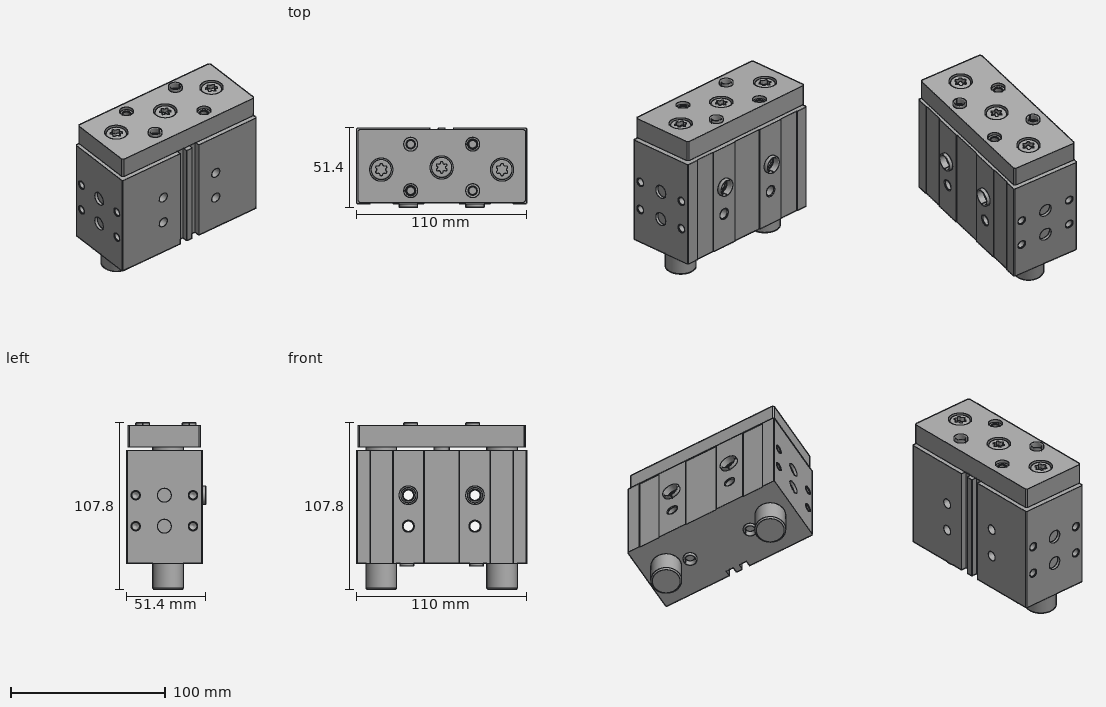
import cadquery as cq
import math


housing_width = 110.0
housing_depth = 49.0
housing_height = 73.0
housing_corner_chamfer = 0.65
front_y = -housing_depth / 2
back_y = housing_depth / 2
side_x = housing_width / 2

plate_width = 108.0
plate_depth = 47.0
plate_thickness = 14.0
plate_corner_chamfer = 1.0
plate_gap = 2.0
plate_bottom_z = housing_height + plate_gap
plate_top_z = plate_bottom_z + plate_thickness

flute_depth = 0.4
centre_flute_width = 23.2
side_flute_inner_x = 31.2
side_flute_outer_x = 46.4

slot_inner_x = 1.9
slot_outer_x = 7.6
slot_depth = 4.0
web_chamfer = 0.4

guide_diameter = 20.0
guide_x = 39.0
guide_y = -2.4
guide_overhang = 17.0
guide_end_chamfer = 1.0
piston_rod_diameter = 10.0
piston_y = -1.0
piston_rod_insertion = 40.0

counterbore_diameter = 15.0
head_diameter = 13.0
head_edge_radius = 0.8
head_height = 7.0
head_shank_diameter = 9.0
head_recess = 0.5
head_top_z = plate_top_z - head_recess
counterbore_floor_z = head_top_z - head_height
guide_socket_radius = 4.0
guide_socket_valley_radius = 2.85
piston_socket_radius = 3.8
piston_socket_valley_radius = 2.5
socket_depth = 3.0
socket_lobes = 6

small_sleeve_diameter = 9.0
small_sleeve_bore = 6.6
small_sleeve_protrusion = 1.8
large_sleeve_diameter = 12.0
large_sleeve_bore = 9.8
large_sleeve_protrusion = 2.35
sleeve_recess_depth = 2.1
sleeve_split_width = 0.3

plate_pattern_x = 20.0
plate_pattern_y = 15.0
small_thread_core = 5.0
small_thread_mouth = 6.0
large_thread_core = 6.65
large_thread_mouth = 7.8
front_hole_x = 21.5
lower_row_z = 24.0
upper_row_z = 44.0
side_hole_y = 18.5
side_thread_depth = 12.0
drill_point_angle = 118.0
bottom_sleeve_x = 22.5


def cylinder(plane, diameter, length):
    """Solid cylinder growing from the plane origin along the plane normal."""
    return cq.Workplane(plane).circle(diameter / 2).extrude(length)


def facing_in(origin, inward):
    """Plane at a face point whose normal points into the material."""
    reference = (0, 0, 1) if inward[2] == 0 else (1, 0, 0)
    return cq.Plane(origin=origin, xDir=reference, normal=inward)


def chamfered_drill(plane, core, mouth, depth):
    """Cutter for a hole whose mouth is broken by a 45 degree chamfer."""
    mouth_depth = (mouth - core) / 2
    cone = cq.Solid.makeCone(mouth / 2, core / 2, mouth_depth, plane.origin, plane.zDir)
    return cylinder(plane, core, depth).union(cq.Workplane(cone))


def drill_point(plane, core, depth):
    """Conical end of a blind drilled hole, starting at the given depth."""
    length = core / 2 / math.tan(math.radians(drill_point_angle / 2))
    solid = cq.Solid.makeCone(core / 2, 0, length, plane.origin + plane.zDir * depth, plane.zDir)
    return cq.Workplane(solid)


def sleeve(plane, diameter, bore, protrusion):
    """Split ring seated in its recess; the plane normal points into the material.

    The split lies on the negative local X side of the ring.
    """
    outer = diameter / 2
    inner = bore / 2
    end_radius = (outer - inner) / 2
    length = protrusion + sleeve_recess_depth
    section = cq.Plane(origin=plane.origin, xDir=-plane.xDir, normal=plane.xDir.cross(plane.zDir))
    ring = (
        cq.Workplane(section)
        .moveTo(inner, -sleeve_recess_depth)
        .lineTo(outer, -sleeve_recess_depth)
        .lineTo(outer, protrusion - end_radius)
        .threePointArc((inner + end_radius, protrusion), (inner, protrusion - end_radius))
        .close()
        .revolve(360, (0, 0), (0, 1))
    )
    split = (
        cq.Workplane(plane)
        .workplane(offset=-protrusion)
        .center(-outer / 2, 0)
        .rect(outer, sleeve_split_width)
        .extrude(length)
    )
    return ring.cut(split)


def socket_cutter(x, y, lobe_radius, valley_radius):
    """Six-lobed drive recess cut down from the top of a screw head."""
    mid_radius = (lobe_radius + valley_radius) / 2
    pitch = 2 * math.pi / socket_lobes

    def polar(radius, angle):
        return (radius * math.cos(angle), radius * math.sin(angle))

    start_angle = math.pi / 2
    outline = cq.Workplane("XY", origin=(x, y, head_top_z))
    outline = outline.moveTo(*polar(mid_radius, start_angle - pitch / 4))
    for lobe in range(socket_lobes):
        angle = start_angle + lobe * pitch
        lobe_end = polar(mid_radius, angle + pitch / 4)
        next_start = polar(mid_radius, angle + 3 * pitch / 4)
        outline = outline.threePointArc(polar(lobe_radius, angle), lobe_end)
        outline = outline.threePointArc(polar(valley_radius, angle + pitch / 2), next_start)
    return outline.close().extrude(-socket_depth)


def screw_head(x, y, lobe_radius, valley_radius):
    """Cylindrical screw head standing on the counterbore floor."""
    head = cylinder(cq.Plane((x, y, counterbore_floor_z)), head_diameter, head_height)
    head = head.faces(">Z").edges().fillet(head_edge_radius)
    return head.cut(socket_cutter(x, y, lobe_radius, valley_radius))


guide_places = [(-guide_x, guide_y), (guide_x, guide_y)]
plate_thread_places = [
    (sx * plate_pattern_x, piston_y + sy * plate_pattern_y) for sx in (-1, 1) for sy in (-1, 1)
]
plate_sleeve_places = [
    (-plate_pattern_x, piston_y - plate_pattern_y),
    (plate_pattern_x, piston_y + plate_pattern_y),
]
top_sleeve_planes = [facing_in((x, y, plate_top_z), (0, 0, -1)) for x, y in plate_sleeve_places]
bottom_sleeve_planes = [facing_in((sx * bottom_sleeve_x, 0, 0), (0, 0, 1)) for sx in (-1, 1)]
front_sleeve_planes = [facing_in((sx * front_hole_x, front_y, upper_row_z), (0, 1, 0)) for sx in (-1, 1)]


def make_housing():
    body = cq.Workplane("XY").rect(housing_width, housing_depth).extrude(housing_height)
    body = body.edges("|Z").chamfer(housing_corner_chamfer)
    body = cut_flutes(body)
    body = cut_sensor_slots(body)
    body = cut_front_holes(body)
    body = cut_side_holes(body)
    for plane in bottom_sleeve_planes:
        body = body.cut(cylinder(plane, small_sleeve_diameter, sleeve_recess_depth))
    for x, y in guide_places:
        body = body.cut(cylinder(cq.Plane((x, y, 0)), guide_diameter, housing_height))
    bore_mouth = facing_in((0, piston_y, housing_height), (0, 0, -1))
    return body.cut(cylinder(bore_mouth, piston_rod_diameter, piston_rod_insertion))


def cut_flutes(body):
    side_width = side_flute_outer_x - side_flute_inner_x
    side_x_mid = (side_flute_outer_x + side_flute_inner_x) / 2
    flutes = [(-side_x_mid, side_width), (0, centre_flute_width), (side_x_mid, side_width)]
    for x, width in flutes:
        half_mouth = width / 2
        half_floor = half_mouth - flute_depth
        outline = [(-half_mouth, 0), (half_mouth, 0), (half_floor, flute_depth), (-half_floor, flute_depth)]
        flute = cq.Workplane("XY", origin=(x, front_y, 0)).polyline(outline).close().extrude(housing_height)
        body = body.cut(flute)
    return body


def cut_sensor_slots(body):
    for side in (-1, 1):
        outline = [
            (side * (slot_inner_x + web_chamfer), back_y - web_chamfer),
            (side * slot_inner_x, back_y),
            (side * slot_outer_x, back_y),
            (side * slot_outer_x, back_y - slot_depth),
            (side * (slot_inner_x + web_chamfer), back_y - slot_depth),
        ]
        body = body.cut(cq.Workplane("XY").polyline(outline).close().extrude(housing_height))
    return body


def cut_front_holes(body):
    for side in (-1, 1):
        lower = facing_in((side * front_hole_x, front_y, lower_row_z), (0, 1, 0))
        body = body.cut(chamfered_drill(lower, large_thread_core, large_thread_mouth, housing_depth))
    for face in front_sleeve_planes:
        seat = cq.Plane(face.origin + face.zDir * sleeve_recess_depth, face.xDir, face.zDir)
        body = body.cut(cylinder(face, large_sleeve_diameter, sleeve_recess_depth))
        body = body.cut(chamfered_drill(seat, large_thread_core, large_thread_mouth, housing_depth))
    return body


def cut_side_holes(body):
    for side in (-1, 1):
        inward = (-side, 0, 0)
        for z in (lower_row_z, upper_row_z):
            recess = facing_in((side * side_x, 0, z), inward)
            body = body.cut(cylinder(recess, small_sleeve_diameter, sleeve_recess_depth))
            for y in (-side_hole_y, side_hole_y):
                mouth = facing_in((side * side_x, y, z), inward)
                thread = chamfered_drill(mouth, small_thread_core, small_thread_mouth, side_thread_depth)
                body = body.cut(thread)
                body = body.cut(drill_point(mouth, small_thread_core, side_thread_depth))
    return body


def make_yoke():
    plate = cq.Workplane("XY").workplane(offset=plate_bottom_z).rect(plate_width, plate_depth)
    plate = plate.extrude(plate_thickness).edges("|Z").chamfer(plate_corner_chamfer)
    counterbore_depth = plate_top_z - counterbore_floor_z
    for x, y in guide_places + [(0, piston_y)]:
        mouth = facing_in((x, y, plate_top_z), (0, 0, -1))
        plate = plate.cut(cylinder(mouth, counterbore_diameter, counterbore_depth))
    for x, y in guide_places:
        plate = plate.cut(cylinder(cq.Plane((x, y, plate_bottom_z)), head_shank_diameter, plate_thickness))
    seat_z = plate_top_z - sleeve_recess_depth
    for x, y in plate_thread_places:
        recess = facing_in((x, y, plate_top_z), (0, 0, -1))
        seat = facing_in((x, y, seat_z), (0, 0, -1))
        plate = plate.cut(cylinder(recess, small_sleeve_diameter, sleeve_recess_depth))
        plate = plate.cut(chamfered_drill(seat, small_thread_core, small_thread_mouth, plate_thickness))
    rod_plane = facing_in((0, piston_y, plate_bottom_z), (0, 0, -1))
    rod = cylinder(rod_plane, piston_rod_diameter, plate_gap + piston_rod_insertion)
    head = screw_head(0, piston_y, piston_socket_radius, piston_socket_valley_radius)
    return plate.union(rod).union(head)


def make_guide_rod(x, y):
    rod_length = guide_overhang + plate_bottom_z
    rod = cylinder(cq.Plane((x, y, -guide_overhang)), guide_diameter, rod_length)
    rod = rod.faces("<Z").edges().chamfer(guide_end_chamfer)
    shank_length = counterbore_floor_z - plate_bottom_z
    shank = cylinder(cq.Plane((x, y, plate_bottom_z)), head_shank_diameter, shank_length)
    head = screw_head(x, y, guide_socket_radius, guide_socket_valley_radius)
    return rod.union(shank).union(head)


housing = make_housing()
yoke = make_yoke()
guide_rods = [make_guide_rod(x, y) for x, y in guide_places]
small_sleeves = [
    sleeve(plane, small_sleeve_diameter, small_sleeve_bore, small_sleeve_protrusion)
    for plane in top_sleeve_planes + bottom_sleeve_planes
]
large_sleeves = [
    sleeve(plane, large_sleeve_diameter, large_sleeve_bore, large_sleeve_protrusion)
    for plane in front_sleeve_planes
]

bodies = [housing, yoke] + guide_rods + small_sleeves + large_sleeves
result = cq.Compound.makeCompound([body.val() for body in bodies])